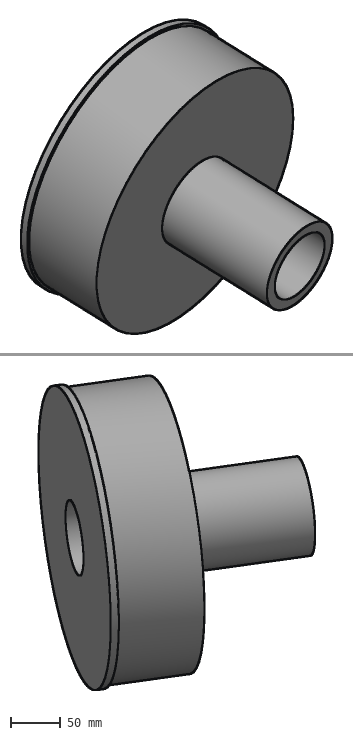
import cadquery as cq

total_length = 238.0
flange_diameter = 311.0
flange_thickness = 8.5
drum_diameter = 305.0
drum_end = 98.3
shaft_diameter = 101.7
bore_diameter = 77.2


def cylinder_along_x(diameter, length):
    """Solid cylinder from the flange face at X = 0 toward +X."""
    return cq.Workplane("YZ").circle(diameter / 2).extrude(length)


flange = cylinder_along_x(flange_diameter, flange_thickness)
drum = cylinder_along_x(drum_diameter, drum_end)
shaft = cylinder_along_x(shaft_diameter, total_length)
body = flange.union(drum).union(shaft)

bore = cylinder_along_x(bore_diameter, total_length)
result = body.cut(bore)